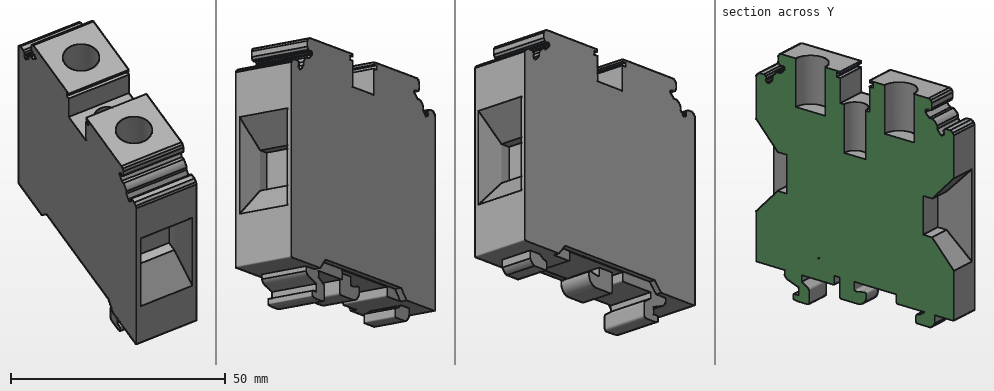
import cadquery as cq

LENGTH = 58.0
THICKNESS = 15.9
HEIGHT = 61.5
HALF_LENGTH = LENGTH / 2

BASE_Z = 6.95
BASE_EDGE_RADIUS = 0.35
ARCH_Z = 9.5
ARCH_HALF_BOTTOM = 17.4
ARCH_HALF_TOP = 15.2

EAR_TOP_Z = 55.05
EAR_CORNER_HEIGHT = 1.0
SHOULDER_Z = 56.6
CROWN_HALF_LENGTH = 22.6

SLOT_WIDTH = 8.4
SLOT_FLOOR_Z = 53.55
LIP_GAP = 8.6
GROOVE_SPAN = 10.6
GROOVE_TOP_Z = 60.9
GROOVE_BOTTOM_Z = 59.9

SCREW_HOLE_DIAMETER = 8.5
SCREW_HOLE_X = 13.0
CENTER_HOLE_DIAMETER = 6.3
HOLE_DEPTH = 12.3

ENTRY_CENTER_Z = 31.4
ENTRY_WIDTH = 13.65
ENTRY_HEIGHT = 23.4
THROAT_WIDTH = 10.95
THROAT_HEIGHT = 9.7
FUNNEL_DEPTH = 6.4
THROAT_DEPTH = 2.6

CORE_Y_MIN = -6.4
CORE_Y_MAX = 6.2
CORE_ROOF_Z = 9.3
CORE_GAP_LEFT = -12.05
CORE_GAP_RIGHT = 5.95
CORE_EDGE_RADIUS = 0.4

FOOT_WIDTH = 8.85
EMBED_Z = 12.3


def extrude_along_y(profile, y_min, y_max):
    """Extrude a closed XZ profile between two Y positions."""
    return profile.extrude(-(y_max - y_min)).translate((0, y_min, 0))


def half_housing():
    """Left half of the housing, from its end wall to the middle plane."""
    profile = (
        cq.Workplane("XZ")
        .moveTo(0, ARCH_Z)
        .lineTo(-ARCH_HALF_TOP, ARCH_Z)
        .lineTo(-ARCH_HALF_BOTTOM, BASE_Z)
        .lineTo(-HALF_LENGTH + BASE_EDGE_RADIUS, BASE_Z)
        .radiusArc((-HALF_LENGTH, BASE_Z + BASE_EDGE_RADIUS), BASE_EDGE_RADIUS)
        .lineTo(-HALF_LENGTH, EAR_TOP_Z - EAR_CORNER_HEIGHT)
        .lineTo(-28.65, 54.55)
        .lineTo(-27.9, EAR_TOP_Z)
        .lineTo(-26.55, EAR_TOP_Z)
        .lineTo(-26.1, 54.75)
        .lineTo(-25.75, 54.25)
        .lineTo(-26.0, 53.95)
        .lineTo(-26.0, 53.55)
        .lineTo(-25.7, 53.2)
        .lineTo(-25.35, 53.1)
        .lineTo(-24.95, 53.3)
        .lineTo(-24.1, 54.35)
        .lineTo(-24.1, 55.15)
        .threePointArc((-23.5, 56.0), (-22.65, SHOULDER_Z))
        .lineTo(-21.85, SHOULDER_Z)
        .lineTo(-20.65, 57.7)
        .lineTo(-20.6, 58.0)
        .lineTo(-20.8, 58.35)
        .lineTo(-21.2, 58.55)
        .lineTo(-21.65, 58.3)
        .lineTo(-22.2, 58.55)
        .lineTo(-CROWN_HALF_LENGTH, 59.2)
        .lineTo(-CROWN_HALF_LENGTH, 60.6)
        .lineTo(-22.2, 61.2)
        .lineTo(-21.6, HEIGHT)
        .lineTo(0, HEIGHT)
        .close()
    )
    return extrude_along_y(profile, -THICKNESS / 2, THICKNESS / 2)


def both_ends(left):
    """A left-hand solid together with its mirror image at the right-hand end."""
    return left.union(left.mirror("YZ"))


def core():
    """Inner body, open at the bottom between its left and right blocks."""
    outline = (
        cq.Workplane("XZ")
        .moveTo(-ARCH_HALF_BOTTOM, EMBED_Z)
        .lineTo(-ARCH_HALF_BOTTOM, BASE_Z)
        .lineTo(CORE_GAP_LEFT - CORE_EDGE_RADIUS, BASE_Z)
        .radiusArc((CORE_GAP_LEFT, BASE_Z + CORE_EDGE_RADIUS), -CORE_EDGE_RADIUS)
        .lineTo(CORE_GAP_LEFT, CORE_ROOF_Z)
        .lineTo(CORE_GAP_RIGHT, CORE_ROOF_Z)
        .lineTo(CORE_GAP_RIGHT, BASE_Z + CORE_EDGE_RADIUS)
        .radiusArc((CORE_GAP_RIGHT + CORE_EDGE_RADIUS, BASE_Z), -CORE_EDGE_RADIUS)
        .lineTo(ARCH_HALF_BOTTOM, BASE_Z)
        .lineTo(ARCH_HALF_BOTTOM, EMBED_Z)
        .close()
    )
    return extrude_along_y(outline, CORE_Y_MIN, CORE_Y_MAX)


def left_foot():
    """Fixed claw at the left of the rail seat."""
    profile = (
        cq.Workplane("XZ")
        .moveTo(-23.45, EMBED_Z)
        .lineTo(-23.45, 5.0)
        .threePointArc((-22.75, 4.05), (-21.95, 3.5))
        .lineTo(-18.15, 3.5)
        .radiusArc((-17.8, 3.9), -0.35)
        .lineTo(-17.8, 5.3)
        .threePointArc((-17.95, 5.7), (-18.3, 5.9))
        .lineTo(-19.0, 6.1)
        .lineTo(-20.2, BASE_Z)
        .lineTo(-20.2, EMBED_Z)
        .close()
    )
    return extrude_along_y(profile, -FOOT_WIDTH / 2, FOOT_WIDTH / 2)


def middle_foot():
    """Foot with a rounded toe pointing left."""
    profile = (
        cq.Workplane("XZ")
        .moveTo(0.1, EMBED_Z)
        .lineTo(0.1, 7.4)
        .radiusArc((-0.2, 7.15), 0.3)
        .lineTo(-0.9, 7.15)
        .lineTo(-2.7, 7.55)
        .threePointArc((-3.2, 7.4), (-3.4, 7.0))
        .threePointArc((-2.8, 5.0), (-1.15, 3.95))
        .lineTo(3.95, 3.95)
        .radiusArc((4.5, 4.5), -0.55)
        .lineTo(4.5, EMBED_Z)
        .close()
    )
    return extrude_along_y(profile, -FOOT_WIDTH / 2, FOOT_WIDTH / 2)


def rail_hook():
    """Sprung hook at the right of the rail seat, as wide as the core."""
    profile = (
        cq.Workplane("XZ")
        .moveTo(15.5, EMBED_Z)
        .lineTo(15.5, 5.4)
        .lineTo(13.7, 4.25)
        .threePointArc((13.4, 3.95), (13.3, 3.45))
        .lineTo(13.3, 0.75)
        .radiusArc((14.0, 0), -0.75)
        .lineTo(16.85, 0)
        .lineTo(17.9, 0.25)
        .radiusArc((18.1, 0.5), -0.25)
        .lineTo(18.1, 1.35)
        .radiusArc((17.7, 1.7), -0.35)
        .lineTo(16.55, 1.7)
        .lineTo(16.55, 3.6)
        .lineTo(19.1, 4.55)
        .threePointArc((20.2, 5.1), (20.65, 5.8))
        .lineTo(20.65, EMBED_Z)
        .close()
    )
    return extrude_along_y(profile, CORE_Y_MIN, CORE_Y_MAX)


def slot_layer(width, z_min, z_max):
    """One level of the central slot, open through the thickness."""
    layer = cq.Workplane("XY", origin=(0, 0, z_min))
    return layer.rect(width, THICKNESS).extrude(z_max - z_min)


def slot():
    """Central slot: plain walls, a groove in each and the lips above."""
    walls = slot_layer(SLOT_WIDTH, SLOT_FLOOR_Z, HEIGHT)
    grooves = slot_layer(GROOVE_SPAN, GROOVE_BOTTOM_Z, GROOVE_TOP_Z)
    lips = slot_layer(LIP_GAP, GROOVE_TOP_Z, HEIGHT)
    return walls.union(grooves).union(lips)


def blind_hole(diameter, x, top_z):
    """Vertical blind hole cutter on the middle plane of the thickness."""
    return cq.Workplane("XY", origin=(x, 0, top_z)).circle(diameter / 2).extrude(-HOLE_DEPTH)


def left_wire_entry():
    """Funnel and throat cut into the left end wall."""
    wall = cq.Workplane("YZ", origin=(-HALF_LENGTH, 0, ENTRY_CENTER_Z))
    funnel = (
        wall.rect(ENTRY_WIDTH, ENTRY_HEIGHT)
        .workplane(offset=FUNNEL_DEPTH)
        .rect(THROAT_WIDTH, THROAT_HEIGHT)
        .loft(ruled=True)
    )
    throat = wall.workplane(offset=FUNNEL_DEPTH).rect(THROAT_WIDTH, THROAT_HEIGHT).extrude(THROAT_DEPTH)
    return funnel.union(throat)


result = both_ends(half_housing())
for under_part in (core(), left_foot(), middle_foot(), rail_hook()):
    result = result.union(under_part)
result = result.cut(slot())
result = result.cut(both_ends(left_wire_entry()))
for screw_x in (-SCREW_HOLE_X, SCREW_HOLE_X):
    result = result.cut(blind_hole(SCREW_HOLE_DIAMETER, screw_x, HEIGHT))
result = result.cut(blind_hole(CENTER_HOLE_DIAMETER, 0, SLOT_FLOOR_Z))